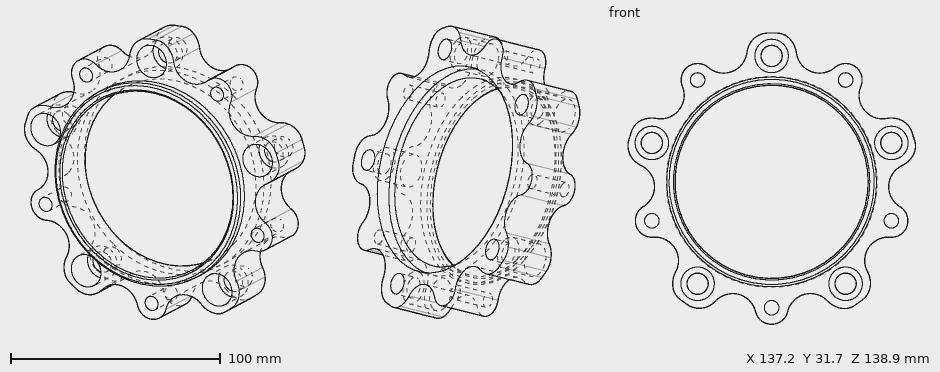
import cadquery as cq
import math

body_depth = 26.7
spigot_length = 5.0
spigot_radius = 50.0
spigot_chamfer = 1.1
bore_radius = 46.0
bore_chamfer = 0.8
socket_radius = 50.3
socket_depth = 7.2

lobe_pairs = 5
pitch_radius = 60.0
large_lobe_radius = 12.0
leading_corner_radius = 8.8
trailing_corner_radius = 10.0
small_lobe_radius = 7.9
valley_radius = 11.1
flat_distance = 71.0

bolt_hole_diameter = 10.0
counterbore_diameter = 16.0
counterbore_depth = 16.7
blind_hole_diameter = 7.0
blind_hole_depth = 20.0

pair_angle = 360 / lobe_pairs
half_pair_angle = pair_angle / 2


def polar(radius, angle):
    """Point at an angle measured clockwise from +Z, as (x, z)."""
    turn = math.radians(angle)
    return (radius * math.sin(turn), radius * math.cos(turn))


def rotate(point, angle):
    """Turn a point clockwise about the ring axis."""
    x, z = point
    turn = math.radians(angle)
    return (
        x * math.cos(turn) + z * math.sin(turn),
        z * math.cos(turn) - x * math.sin(turn),
    )


def mirror(point, axis_angle):
    """Reflect a point in the radial line at the given angle."""
    x, z = rotate(point, -axis_angle)
    return rotate((-x, z), axis_angle)


def toward(start, target, distance):
    """Point at a distance from start along the line to target."""
    share = distance / math.dist(start, target)
    return (
        start[0] + share * (target[0] - start[0]),
        start[1] + share * (target[1] - start[1]),
    )


def arc_middle(center, start, end, radius):
    """Midpoint of the short arc between two points of a circle."""
    chord_middle = ((start[0] + end[0]) / 2, (start[1] + end[1]) / 2)
    return toward(center, chord_middle, radius)


def valley_center(large_center, small_center):
    """Centre of the hollow that touches both neighbouring lobes from outside."""
    to_large = large_lobe_radius + valley_radius
    to_small = small_lobe_radius + valley_radius
    spacing = math.dist(large_center, small_center)
    along = (to_large**2 - to_small**2 + spacing**2) / (2 * spacing)
    outward = math.sqrt(to_large**2 - along**2)
    foot = toward(large_center, small_center, along)
    normal = polar(outward, half_pair_angle / 2)
    return (foot[0] + normal[0], foot[1] + normal[1])


def lobe_side(corner_radius):
    """Points from the flat tip of the top large lobe, clockwise to the next small lobe.

    They run: flat end, then middle and end of the corner, flank and hollow arcs.
    """
    large_center = polar(pitch_radius, 0)
    small_center = polar(pitch_radius, half_pair_angle)
    hollow_center = valley_center(large_center, small_center)

    corner_z = flat_distance - corner_radius
    corner_reach = large_lobe_radius - corner_radius
    flat_half_width = math.sqrt(corner_reach**2 - (corner_z - pitch_radius) ** 2)
    corner_center = (flat_half_width, corner_z)

    flat_end = (flat_half_width, flat_distance)
    corner_end = toward(large_center, corner_center, large_lobe_radius)
    flank_end = toward(large_center, hollow_center, large_lobe_radius)
    hollow_end = toward(small_center, hollow_center, small_lobe_radius)
    return [
        flat_end,
        arc_middle(corner_center, flat_end, corner_end, corner_radius),
        corner_end,
        arc_middle(large_center, corner_end, flank_end, large_lobe_radius),
        flank_end,
        arc_middle(hollow_center, flank_end, hollow_end, valley_radius),
        hollow_end,
    ]


def outline():
    """Closed lobed outline: from each large lobe over a small one to the next large one."""
    leading = lobe_side(leading_corner_radius)
    trailing = [mirror(point, half_pair_angle) for point in reversed(lobe_side(trailing_corner_radius))]
    small_tip = polar(pitch_radius + small_lobe_radius, half_pair_angle)
    flat_end, *arc_points = leading + [small_tip] + trailing

    profile = cq.Workplane("XZ").moveTo(0, flat_distance)
    for index in range(lobe_pairs):
        angle = index * pair_angle
        profile = profile.lineTo(*rotate(flat_end, angle))
        for middle, end in zip(arc_points[0::2], arc_points[1::2]):
            profile = profile.threePointArc(rotate(middle, angle), rotate(end, angle))
    return profile.close()


def cylinder(center, diameter, start_y, end_y):
    """Solid cylinder along Y from start_y to end_y."""
    x, z = center
    base = cq.Vector(x, start_y, z)
    solid = cq.Solid.makeCylinder(diameter / 2, end_y - start_y, base, cq.Vector(0, 1, 0))
    return cq.Workplane(solid)


def spigot():
    """Short locating collar on the front face, chamfered on its outer rim."""
    collar = cylinder((0, 0), 2 * spigot_radius, -spigot_length, 0)
    return collar.faces("<Y").chamfer(spigot_chamfer)


def bore():
    """Central opening: chamfered at the front, stepped out to a socket at the back."""
    socket_floor = body_depth - socket_depth
    half_section = [
        (0, -spigot_length),
        (bore_radius + bore_chamfer, -spigot_length),
        (bore_radius, -spigot_length + bore_chamfer),
        (bore_radius, socket_floor),
        (socket_radius, socket_floor),
        (socket_radius, body_depth),
        (0, body_depth),
    ]
    return cq.Workplane("XY").polyline(half_section).close().revolve(360, (0, 0, 0), (0, 1, 0))


body = outline().extrude(-body_depth)
result = body.union(spigot()).cut(bore())

for index in range(lobe_pairs):
    large_angle = index * pair_angle
    large_center = polar(pitch_radius, large_angle)
    small_center = polar(pitch_radius, large_angle + half_pair_angle)
    result = result.cut(cylinder(large_center, bolt_hole_diameter, 0, body_depth))
    result = result.cut(cylinder(large_center, counterbore_diameter, 0, counterbore_depth))
    result = result.cut(cylinder(small_center, blind_hole_diameter, 0, blind_hole_depth))